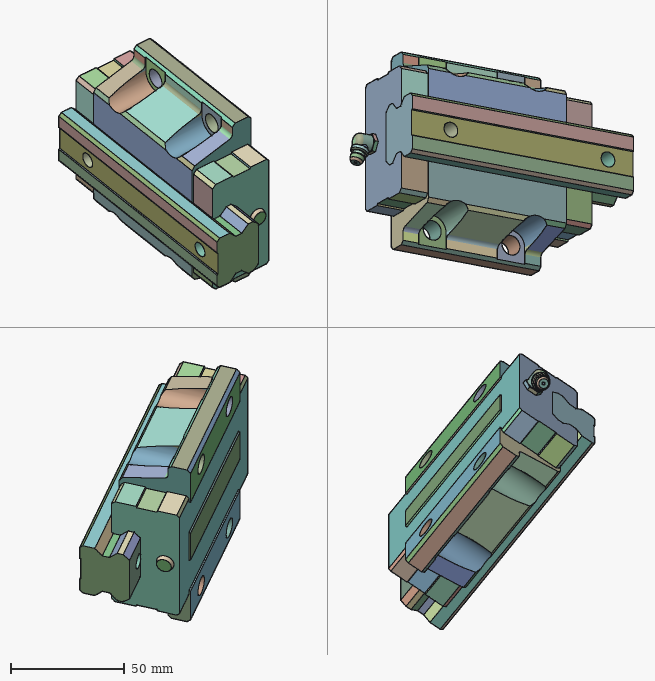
import cadquery as cq
import math


STEP_RUN = 0.4

BLOCK_LENGTH = 70.2
BLOCK_BOTTOM = 8.9
TOTAL_HEIGHT = 42.0
FLANGE_WIDTH = 90.0
FLANGE_THICKNESS = 10.5
FLANGE_CHAMFER = 1.6
BODY_HALF_WIDTH = 37.8
FLANK_FOOT_HALF_WIDTH = 32.1
FLANK_FOOT_Y = 10.3
BOTTOM_HALF_WIDTH = 30.0
FLANK_FILLET = 2.0
FLANGE_UNDERSIDE = TOTAL_HEIGHT - FLANGE_THICKNESS

MOUNT_SPACING_X = 40.0
MOUNT_SPACING_Z = 72.0
MOUNT_HOLE_DIAMETER = 9.0
POCKET_WIDTH = 14.0
POCKET_DEPTH = 0.4

TOP_GROOVE_DEPTH = 0.7
TOP_GROOVE_INNER = 7.9
TOP_GROOVE_OUTER = 26.3

CAP_LENGTH = 13.5
CAP_TOP = TOTAL_HEIGHT - TOP_GROOVE_DEPTH
CAP_BOTTOM = 9.7
CAP_HALF_WIDTH = 29.6
CAP_TOP_CHAMFER = 1.2
CAP_BOTTOM_CHAMFER = 1.7
CAP_WAIST_TOP = 31.1
CAP_WAIST_BOTTOM = 21.1
CAP_WAIST_DEPTH = 0.7
CAP_FACE_X = BLOCK_LENGTH / 2 + CAP_LENGTH

RAIL_LENGTH = 112.7
RAIL_HEIGHT = 23.2
RAIL_HALF_WIDTH = 14.0
RAIL_TOP_HALF_WIDTH = 11.4
RAIL_WAIST_HALF_WIDTH = 10.5
RAIL_BASE_CHAMFER = 1.5
RAIL_HEAD_TOP = 20.2
RAIL_HEAD_BOTTOM = 17.5
RAIL_WAIST_TOP = 13.9
RAIL_WAIST_BOTTOM = 10.5
RAIL_FOOT_TOP = 7.1
BASE_GROOVE_HALF_WIDTH = 6.2
BASE_GROOVE_DEPTH = 0.5
RAIL_HOLE_DIAMETER = 7.0
RAIL_HOLE_SPACING = 80.0
RAIL_HOLE_OFFSET = 20.0

NIPPLE_Y = 34.7
HEX_FLATS = 8.2
HEX_THICKNESS = 1.9
HEX_CORNER_BEVEL = 0.2
ELBOW_DIAMETER = 7.8
ELBOW_LENGTH = 9.4
ELBOW_ROUND = 2.5
SPOUT_ANGLE = 20
SPOUT_FROM_CAP = 5.2
STEM_DIAMETER = 6.6
COLLAR_DIAMETER = 8.0
COLLAR_FOOT_DIAMETER = 7.0
COLLAR_START = 3.6
COLLAR_TAPER_START = 5.2
COLLAR_END = 5.7
NECK_DIAMETER = 5.5
HEAD_START = 7.2
HEAD_START_DIAMETER = 6.1
HEAD_CREST = 7.7
HEAD_DIAMETER = 6.6
TIP_START = 9.5
TIP_START_DIAMETER = 6.0
TIP_END = 10.8
TIP_END_DIAMETER = 4.3
TIP_BORE_DIAMETER = 1.2
TIP_BORE_DEPTH = 1.2
PLUG_DIAMETER = 8.0
PLUG_LENGTH = 2.0
PLUG_NARROWING = 0.6


def mirrored_prism(half_outline, x_start, length):
    """Prism along X; half_outline holds (z, y) points on the +Z side, top to bottom."""
    other_half = [(-z, y) for z, y in reversed(half_outline)]
    outline = [(y, z) for z, y in half_outline + other_half]
    return cq.Workplane("YZ", origin=(x_start, 0, 0)).polyline(outline).close().extrude(length)


def rail_prism(x_start, length, base_groove):
    """Rail profile swept along X, with or without the groove in its base."""
    outline = [
        (RAIL_TOP_HALF_WIDTH, RAIL_HEIGHT),
        (RAIL_HALF_WIDTH, RAIL_HEAD_TOP),
        (RAIL_HALF_WIDTH, RAIL_HEAD_BOTTOM),
        (RAIL_WAIST_HALF_WIDTH, RAIL_WAIST_TOP),
        (RAIL_WAIST_HALF_WIDTH, RAIL_WAIST_BOTTOM),
        (RAIL_HALF_WIDTH, RAIL_FOOT_TOP),
        (RAIL_HALF_WIDTH, RAIL_BASE_CHAMFER),
        (RAIL_HALF_WIDTH - RAIL_BASE_CHAMFER, 0),
    ]
    if base_groove:
        outline += [
            (BASE_GROOVE_HALF_WIDTH, 0),
            (BASE_GROOVE_HALF_WIDTH - STEP_RUN, BASE_GROOVE_DEPTH),
        ]
    return mirrored_prism(outline, x_start, length)


def make_rail():
    """Rail flush with the nipple-side cap, with through holes for its fixing screws."""
    rail = rail_prism(-CAP_FACE_X, RAIL_LENGTH, base_groove=True)
    first_hole_x = -CAP_FACE_X + RAIL_HOLE_OFFSET
    for hole_x in (first_hole_x, first_hole_x + RAIL_HOLE_SPACING):
        rail = rail.cut(y_cylinder(hole_x, 0, RAIL_HOLE_DIAMETER, 0, RAIL_HEIGHT))
    return rail


def y_cylinder(x, z, diameter, y_start, y_end):
    """Cylinder parallel to Y between two heights."""
    return cq.Workplane(
        cq.Solid.makeCylinder(diameter / 2, y_end - y_start, cq.Vector(x, y_start, z), cq.Vector(0, 1, 0))
    )


def make_block():
    """Flanged block with sloped sides and a fillet under each flange."""
    half_width = FLANGE_WIDTH / 2
    block = mirrored_prism(
        [
            (half_width - FLANGE_CHAMFER, TOTAL_HEIGHT),
            (half_width, TOTAL_HEIGHT - FLANGE_CHAMFER),
            (half_width, FLANGE_UNDERSIDE + FLANGE_CHAMFER),
            (half_width - FLANGE_CHAMFER, FLANGE_UNDERSIDE),
            (BODY_HALF_WIDTH, FLANGE_UNDERSIDE),
            (FLANK_FOOT_HALF_WIDTH, FLANK_FOOT_Y),
            (BOTTOM_HALF_WIDTH, BLOCK_BOTTOM),
        ],
        -BLOCK_LENGTH / 2,
        BLOCK_LENGTH,
    )
    for side in (-1, 1):
        corner = cq.selectors.NearestToPointSelector((0, FLANGE_UNDERSIDE, side * BODY_HALF_WIDTH))
        block = block.edges(corner).fillet(FLANK_FILLET)
    return block


def cut_top_grooves(block):
    """Shallow grooves on each side of the raised strip along the top."""
    floor_y = TOTAL_HEIGHT - TOP_GROOVE_DEPTH
    for side in (-1, 1):
        section = [
            (TOTAL_HEIGHT, side * TOP_GROOVE_INNER),
            (floor_y, side * (TOP_GROOVE_INNER + STEP_RUN)),
            (floor_y, side * TOP_GROOVE_OUTER),
            (TOTAL_HEIGHT, side * TOP_GROOVE_OUTER),
        ]
        start = cq.Workplane("YZ", origin=(-BLOCK_LENGTH / 2, 0, 0))
        block = block.cut(start.polyline(section).close().extrude(BLOCK_LENGTH))
    return block


def cut_mounts(block):
    """Through holes in the flanges, each with a round-ended pocket open to the outside."""
    pocket_floor = FLANGE_UNDERSIDE + POCKET_DEPTH
    pocket_height = pocket_floor - BLOCK_BOTTOM
    opening = (FLANGE_WIDTH - MOUNT_SPACING_Z) / 2
    for x in (-MOUNT_SPACING_X / 2, MOUNT_SPACING_X / 2):
        for side in (-1, 1):
            z = side * MOUNT_SPACING_Z / 2
            round_end = y_cylinder(x, z, POCKET_WIDTH, BLOCK_BOTTOM, pocket_floor)
            open_end = cq.Workplane().box(POCKET_WIDTH, pocket_height, opening)
            open_end = open_end.translate((x, BLOCK_BOTTOM + pocket_height / 2, z + side * opening / 2))
            hole = y_cylinder(x, z, MOUNT_HOLE_DIAMETER, BLOCK_BOTTOM, TOTAL_HEIGHT)
            block = block.cut(round_end).cut(open_end).cut(hole)
    return block


def make_end_cap(x_start):
    """End cap with a shallow waist in each side."""
    waist_half_width = CAP_HALF_WIDTH - CAP_WAIST_DEPTH
    return mirrored_prism(
        [
            (CAP_HALF_WIDTH - CAP_TOP_CHAMFER, CAP_TOP),
            (CAP_HALF_WIDTH, CAP_TOP - CAP_TOP_CHAMFER),
            (CAP_HALF_WIDTH, CAP_WAIST_TOP),
            (waist_half_width, CAP_WAIST_TOP - STEP_RUN),
            (waist_half_width, CAP_WAIST_BOTTOM + STEP_RUN),
            (CAP_HALF_WIDTH, CAP_WAIST_BOTTOM),
            (CAP_HALF_WIDTH, CAP_BOTTOM + CAP_BOTTOM_CHAMFER),
            (CAP_HALF_WIDTH - CAP_BOTTOM_CHAMFER, CAP_BOTTOM),
        ],
        x_start,
        CAP_LENGTH,
    )


def make_spout():
    """Stem, collar, neck and tapered head of the nipple, revolved about a tilted axis."""
    profile = [
        (0, 0),
        (STEM_DIAMETER / 2, 0),
        (STEM_DIAMETER / 2, COLLAR_START),
        (COLLAR_DIAMETER / 2, COLLAR_START),
        (COLLAR_DIAMETER / 2, COLLAR_TAPER_START),
        (COLLAR_FOOT_DIAMETER / 2, COLLAR_END),
        (NECK_DIAMETER / 2, COLLAR_END),
        (NECK_DIAMETER / 2, HEAD_START),
        (HEAD_START_DIAMETER / 2, HEAD_START),
        (HEAD_DIAMETER / 2, HEAD_CREST),
        (TIP_START_DIAMETER / 2, TIP_START),
        (TIP_END_DIAMETER / 2, TIP_END),
        (TIP_BORE_DIAMETER / 2, TIP_END),
        (TIP_BORE_DIAMETER / 2, TIP_END - TIP_BORE_DEPTH),
        (0, TIP_END - TIP_BORE_DEPTH),
    ]
    tilt = math.radians(SPOUT_ANGLE)
    spout_frame = cq.Plane(
        origin=(-CAP_FACE_X - SPOUT_FROM_CAP, NIPPLE_Y, 0),
        xDir=(math.cos(tilt), 0, -math.sin(tilt)),
        normal=(0, 1, 0),
    )
    return cq.Workplane(spout_frame).polyline(profile).close().revolve(360, (0, 0), (0, 1))


def make_nipple():
    """Hexagon, elbow with a rounded end, and the tilted spout."""
    face = cq.Workplane("YZ", origin=(-CAP_FACE_X, NIPPLE_Y, 0))
    hex_corners = HEX_FLATS / math.cos(math.pi / 6)
    hexagon = face.polygon(6, hex_corners).extrude(-HEX_THICKNESS)
    corner_cut = (hex_corners - HEX_FLATS) / 2
    rounding = face.circle(hex_corners / 2).extrude(-HEX_THICKNESS).faces("<X").edges()
    hexagon = hexagon.intersect(rounding.chamfer(HEX_CORNER_BEVEL, corner_cut))
    elbow = face.circle(ELBOW_DIAMETER / 2).extrude(-ELBOW_LENGTH).faces("<X").edges().fillet(ELBOW_ROUND)
    return hexagon.union(elbow).union(make_spout())


def make_plug():
    """Round plug with a bulged side, on the cap away from the nipple."""
    end_radius = PLUG_DIAMETER / 2 - PLUG_NARROWING
    side_radius = (PLUG_LENGTH**2 + PLUG_NARROWING**2) / (2 * PLUG_NARROWING)
    arc_angle = math.asin(PLUG_LENGTH / side_radius) / 2
    arc_middle = (
        side_radius * math.sin(arc_angle),
        PLUG_DIAMETER / 2 - side_radius * (1 - math.cos(arc_angle)),
    )
    half_section = (
        cq.Workplane("XY", origin=(CAP_FACE_X, NIPPLE_Y, 0))
        .lineTo(0, PLUG_DIAMETER / 2)
        .threePointArc(arc_middle, (PLUG_LENGTH, end_radius))
        .lineTo(PLUG_LENGTH, 0)
        .close()
    )
    return half_section.revolve(360, (0, 0), (1, 0))


def make_carriage():
    """Block, both end caps, nipple and plug as one body with a channel for the rail."""
    carriage = cut_mounts(cut_top_grooves(make_block()))
    carriage = carriage.union(make_end_cap(-CAP_FACE_X)).union(make_end_cap(BLOCK_LENGTH / 2))
    carriage = carriage.cut(rail_prism(-CAP_FACE_X, 2 * CAP_FACE_X, base_groove=False))
    return carriage.union(make_nipple()).union(make_plug())


rail = make_rail()
carriage = make_carriage()

result = cq.Compound.makeCompound([rail.solids().val(), carriage.solids().val()])